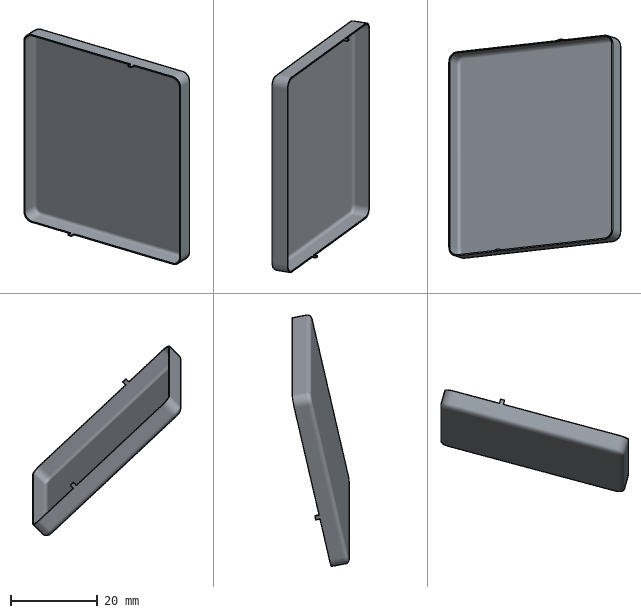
import cadquery as cq

width = 44.3
height = 48.3
depth_with_tabs = 5.4
tab_length = 1.0
depth = depth_with_tabs - tab_length

wall = 0.3
corner_radius = 2.25
back_edge_radius = 1.05

tab_width = 1.0
tab_thickness = wall
tab_offset = 8.5

rim_y = 0.0
back_y = rim_y + depth


def rounded_block(inset):
    """Block from the rim to the back face, inset evenly at the sides and back."""
    return (
        cq.Workplane("XZ", origin=(0, rim_y, 0))
        .rect(width - 2 * inset, height - 2 * inset)
        .extrude(-(back_y - rim_y - inset))
        .edges("|Y")
        .fillet(corner_radius - inset)
        .faces(">Y")
        .edges()
        .fillet(back_edge_radius - inset)
    )


def rim_tab(side):
    """Tab flush with the top (side = 1) or bottom (side = -1) outer wall.

    It is one wall thickness deep into the rim, so that it joins the wall solidly.
    """
    root_depth = wall
    length = tab_length + root_depth
    return cq.Workplane("XY").box(tab_width, length, tab_thickness).translate(
        (
            side * tab_offset,
            rim_y + root_depth - length / 2,
            side * (height - tab_thickness) / 2,
        )
    )


result = rounded_block(0).cut(rounded_block(wall))
for side in (1, -1):
    result = result.union(rim_tab(side))